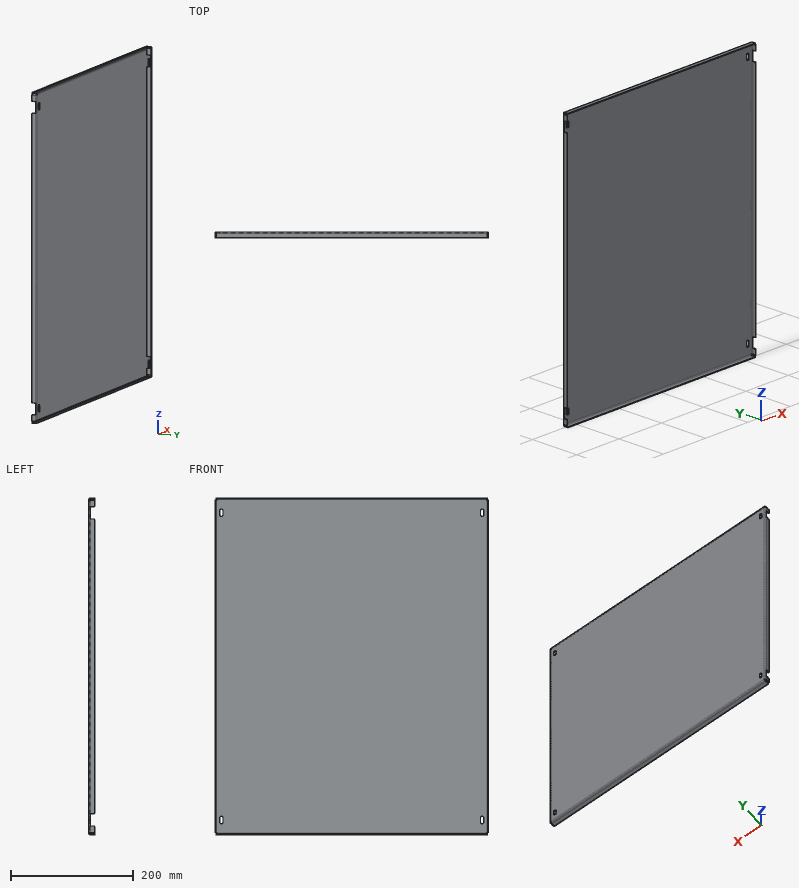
import cadquery as cq

width = 447.0
depth = 10.0
height = 550.0

sheet = 1.8
bend_radius = 1.0
outer_radius = bend_radius + sheet

side_inset = 4.0
tab_end = 15.0
run_start = 34.0
corner_radius = 2.0

end_flange_inset = 2.0

slot_spacing_x = 425.5
slot_spacing_z = 501.5
slot_width = 5.0
slot_length = 12.0

back = depth / 2
front = -depth / 2
half_width = width / 2
half_height = height / 2
bend_front = back - outer_radius


def bend(half_span, length):
    """Quarter-round bend along Z, centred on Z = 0."""
    tangent = half_span - outer_radius
    return (
        cq.Workplane("XY")
        .moveTo(tangent, back)
        .radiusArc((half_span, bend_front), outer_radius)
        .lineTo(half_span - sheet, bend_front)
        .radiusArc((tangent, back - sheet), -bend_radius)
        .close()
        .extrude(length / 2, both=True)
    )


def flange(half_span, z_low, z_high, rounded=""):
    """Flat flange from the bend to the front; 'rounded' selects its rounded corners."""
    plate = cq.Workplane("XY").box(sheet, bend_front - front, z_high - z_low)
    if rounded:
        plate = plate.edges("|X").edges(rounded).fillet(corner_radius)
    return plate.translate((half_span - sheet / 2, (bend_front + front) / 2, (z_low + z_high) / 2))


panel = cq.Workplane("XY").box(width - 2 * outer_radius, sheet, height - 2 * outer_radius)
result = panel.translate((0, back - sheet / 2, 0))

run_reach = half_height - run_start
tab = flange(half_width, half_height - tab_end, half_height - side_inset, "<Y and <Z")
side_parts = [
    bend(half_width, height - 2 * side_inset),
    flange(half_width, -run_reach, run_reach, "<Y"),
    tab,
    tab.mirror("XY"),
]
for piece in side_parts:
    result = result.union(piece).union(piece.mirror("YZ"))

end_reach = half_width - end_flange_inset
end_parts = [
    bend(half_height, 2 * end_reach),
    flange(half_height, -end_reach, end_reach),
]
for piece in end_parts:
    top_piece = piece.rotate((0, 0, 0), (0, 1, 0), -90)
    result = result.union(top_piece).union(top_piece.mirror("XY"))

slots = (
    cq.Workplane("XZ")
    .rect(slot_spacing_x, slot_spacing_z, forConstruction=True)
    .vertices()
    .slot2D(slot_length, slot_width, 90)
    .extrude(depth, both=True)
)
result = result.cut(slots)